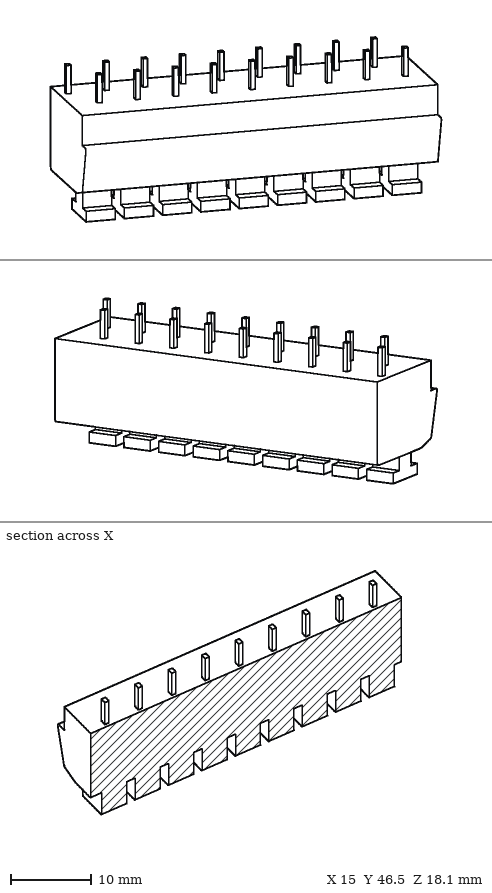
import cadquery as cq

housing_length = 46.5
housing_height = 10.8
housing_width = 13.5
overall_width = 15.0
ledge_height = 6.9
lower_corner_height = 0.8
lower_corner_x = 13.55
underside_width = 11.05
back_corner_radius = 0.5
tip_radius = 0.3
underside_radius = 2.5

pole_count = 9

foot_height = 3.65
flange_thickness = 1.4
flange_width = 6.05
stem_width = 2.98
foot_center_x = 8.8
foot_length = 3.8
first_foot_y = 1.0
last_foot_gap = 1.65

pole_pitch = (housing_length - first_foot_y - foot_length - last_foot_gap) / (pole_count - 1)

pin_height = 3.67
pin_size_x = 0.8
pin_size_y = 0.6
back_row_x = 3.3
front_row_x = back_row_x + pole_pitch
first_pin_y = 1.25
row_stagger = pole_pitch / 2


def make_housing():
    tip_arc_start = (overall_width, ledge_height - tip_radius)
    tip_arc_end = (overall_width - tip_radius, ledge_height)
    profile = (
        cq.Workplane("XZ")
        .lineTo(underside_width, 0)
        .lineTo(lower_corner_x, lower_corner_height)
        .lineTo(*tip_arc_start)
        .radiusArc(tip_arc_end, -tip_radius)
        .lineTo(housing_width, ledge_height)
        .lineTo(housing_width, housing_height)
        .lineTo(0, housing_height)
        .close()
    )
    body = profile.extrude(-housing_length)

    def round_edge(solid, x, z, radius):
        nearest = cq.selectors.NearestToPointSelector((x, housing_length / 2, z))
        return solid.edges("|Y").edges(nearest).fillet(radius)

    body = round_edge(body, 0, 0, back_corner_radius)
    return round_edge(body, underside_width, 0, underside_radius)


def make_pin(x, y):
    base = cq.Workplane("XY", origin=(x, y, housing_height))
    return base.rect(pin_size_x, pin_size_y).extrude(pin_height)


def make_foot(start_y):
    plane = cq.Workplane("XZ", origin=(foot_center_x, start_y, 0))
    stem = plane.center(0, -foot_height / 2).rect(stem_width, foot_height)
    stem = stem.extrude(-foot_length)
    flange = plane.center(0, flange_thickness / 2 - foot_height).rect(flange_width, flange_thickness)
    return stem.union(flange.extrude(-foot_length))


result = make_housing()
for pole in range(pole_count):
    pole_offset = pole * pole_pitch
    back_pin_y = first_pin_y + pole_offset
    result = result.union(make_pin(back_row_x, back_pin_y))
    result = result.union(make_pin(front_row_x, back_pin_y + row_stagger))
    result = result.union(make_foot(first_foot_y + pole_offset))